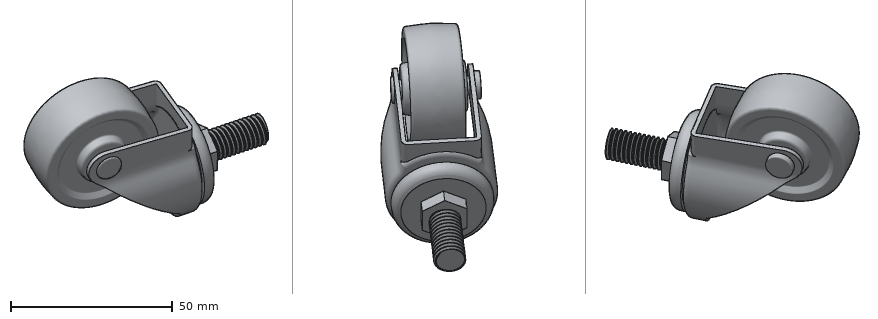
import cadquery as cq
import math


axle_y = -30.45
axle_z = 18.5
wheel_radius = 19.9
wheel_width = 16.9
tread_crown = 0.6
tread_corner = 0.95
recess_outer_radius = 15.9
recess_inner_radius = 14.2
recess_round = 0.3
web_width = 14.1
hub_width = 20.1
hub_base_radius = 8.4
hub_tip_radius = 7.9
hub_base_fillet = 0.55
hub_tip_fillet = 0.95
pin_radius = 3.0
pin_head_radius = 4.4
pin_head_thickness = 2.0
pin_head_round = 0.5
rivet_radius = 4.3
rivet_thickness = 0.7
rivet_round = 0.6

sheet = 1.5
cup_radius = 17.5
cup_round = 1.9
cup_floor = 1.8
cup_inner_round = 1.4
cup_lip_radius = 19.0
arm_outer_x = 12.5
blend_radius = 8.4
back_step = 0.95
back_round = 2.0
back_inner_round = 0.4
back_top_z = 22.6
arm_end_radius = 5.9
arm_end_y = axle_y - 1.0
heel_y = -7.0
heel_z = -8.6
heel_round = 2.0
toe_y = -5.8
fork_length = 43.5
fork_height = 27.7

flange_top_y = 5.45
flange_radius = 16.0
flange_top_radius = 13.3
flange_shoulder_radius = 14.4
flange_shoulder_y = 5.0
flange_side_top_y = 2.1
flange_bottom_y = 0.9
neck_top_radius = 14.3
neck_bottom_radius = 13.5
nut_flats = 13.9
nut_top_y = 9.8
stem_tip_y = 28.7
thread_radius = 5.0
thread_root_radius = 4.2
thread_pitch = 1.5
thread_crest = 0.2
thread_base = 1.35
thread_start_y = 8.1
thread_overlap = 0.15


def cylinder_y(radius, start_y, length):
    """Cylinder around the stem axis, from start_y toward -Y."""
    return cq.Workplane("XZ", origin=(0, start_y, 0)).circle(radius).extrude(length)


def arm_block(inset, start_y):
    """Block as wide as the arms, with its sides blended onto the cup circle; inset shrinks it."""
    circle_r = cup_radius - inset
    arm_x = arm_outer_x - inset
    blend_r = blend_radius + inset
    centre_x = arm_x + blend_r
    reach = circle_r + blend_r
    centre_z = math.sqrt(reach**2 - centre_x**2)
    foot_x = centre_x * circle_r / reach
    foot_z = centre_z * circle_r / reach
    mid_angle = math.pi + math.atan2(centre_z, centre_x) / 2
    mid_x = centre_x + blend_r * math.cos(mid_angle)
    mid_z = centre_z + blend_r * math.sin(mid_angle)
    return (
        cq.Workplane("XZ", origin=(0, start_y, 0))
        .moveTo(foot_x, foot_z)
        .threePointArc((mid_x, mid_z), (arm_x, centre_z))
        .lineTo(arm_x, fork_height)
        .lineTo(-arm_x, fork_height)
        .lineTo(-arm_x, centre_z)
        .threePointArc((-mid_x, mid_z), (-foot_x, foot_z))
        .close()
        .extrude(fork_length)
    )


def arm_end_tangent(point_y, point_z, side):
    """Point where a line from the given point touches the round arm end (side = +1 top, -1 front)."""
    dy = point_y - arm_end_y
    dz = point_z - axle_z
    angle = math.atan2(dz, dy) + side * math.acos(arm_end_radius / math.hypot(dy, dz))
    return arm_end_y + arm_end_radius * math.cos(angle), axle_z + arm_end_radius * math.sin(angle)


def fork_side_trim():
    """Side shape of the fork, as a prism along X."""
    top_touch = arm_end_tangent(-back_step, back_top_z, 1)
    front_touch = arm_end_tangent(heel_y, heel_z, -1)
    prism = (
        cq.Workplane("YZ")
        .moveTo(0, back_top_z)
        .lineTo(-back_step, back_top_z)
        .lineTo(*top_touch)
        .threePointArc((arm_end_y - arm_end_radius, axle_z), front_touch)
        .lineTo(heel_y, heel_z)
        .lineTo(toe_y, -cup_radius)
        .lineTo(0, -cup_radius)
        .close()
        .extrude(cup_radius, both=True)
    )
    heel = cq.selectors.NearestToPointSelector((0, heel_y, heel_z))
    return prism.edges("|X").edges(heel).fillet(heel_round)


def cup_block(inset, start_y, edge_round):
    """Cup with its lip between the arms, rounded along its back edge."""
    lip = arm_block(inset, start_y).intersect(cylinder_y(cup_lip_radius - inset, start_y, fork_length))
    cup = cylinder_y(cup_radius - inset, start_y, fork_length).union(lip)
    return cup.faces(">Y").edges().fillet(edge_round)


def fork_shell():
    """Sheet fork: the outer cup and arms, trimmed to the side shape and hollowed by the inner ones."""
    arms = arm_block(0, -back_step).faces(">Y").edges().fillet(back_round)
    arm_space = arm_block(sheet, -back_step - sheet).faces(">Y").edges("|Z").fillet(back_inner_round)
    cup = cup_block(0, 0, cup_round)
    cup_space = cup_block(sheet, -cup_floor, cup_inner_round)
    return cup.union(arms).intersect(fork_side_trim()).cut(arm_space).cut(cup_space)


def swivel_flange():
    """Round flange with its tapered neck, seated in the cup floor."""
    shoulder_height = flange_shoulder_y - flange_side_top_y
    shoulder_depth = flange_radius - flange_shoulder_radius
    arc_radius = (shoulder_height**2 + shoulder_depth**2) / (2 * shoulder_depth)
    half_angle = math.asin(shoulder_height / arc_radius) / 2
    arc_mid = (
        flange_radius - arc_radius * (1 - math.cos(half_angle)),
        flange_side_top_y + arc_radius * math.sin(half_angle),
    )
    return (
        cq.Workplane("XY")
        .moveTo(0, -cup_floor / 2)
        .lineTo(neck_bottom_radius, -cup_floor / 2)
        .lineTo(neck_bottom_radius, 0)
        .lineTo(neck_top_radius, flange_bottom_y)
        .lineTo(flange_radius, flange_bottom_y)
        .lineTo(flange_radius, flange_side_top_y)
        .threePointArc(arc_mid, (flange_shoulder_radius, flange_shoulder_y))
        .lineTo(flange_top_radius, flange_top_y)
        .lineTo(0, flange_top_y)
        .close()
        .revolve(360, (0, 0, 0), (0, 1, 0))
    )


def threaded_stem():
    """Hexagon and right-handed threaded rod."""
    corner_diameter = nut_flats / math.cos(math.pi / 6)
    nut = (
        cq.Workplane("XZ", origin=(0, nut_top_y, 0))
        .transformed(rotate=(0, 0, 90))
        .polygon(6, corner_diameter)
        .extrude(nut_top_y - flange_top_y)
    )
    run_out = 2 * thread_pitch
    core = cylinder_y(thread_root_radius, stem_tip_y + run_out, stem_tip_y + run_out - flange_top_y)
    inner_radius = thread_root_radius - thread_overlap
    base_half = thread_base / 2
    crest_half = thread_crest / 2
    helix = cq.Wire.makeHelix(thread_pitch, stem_tip_y + thread_pitch - thread_start_y, inner_radius)
    ridge = (
        cq.Workplane("XZ")
        .moveTo(inner_radius, -base_half)
        .lineTo(thread_radius, -crest_half)
        .lineTo(thread_radius, crest_half)
        .lineTo(inner_radius, base_half)
        .close()
        .sweep(helix, isFrenet=True)
        .rotate((0, 0, 0), (1, 0, 0), -90)
        .translate((0, thread_start_y, 0))
    )
    rod = core.union(ridge).intersect(cylinder_y(nut_flats, stem_tip_y, stem_tip_y))
    return nut.union(rod)


def revolve_on_axle(outline):
    """Revolve an (X, radius) outline about the X axis and move it onto the axle."""
    return outline.close().revolve(360, (0, 0, 0), (1, 0, 0)).translate((0, axle_y, axle_z))


def fillet_circle(body, x, radius, size):
    """Fillet the circular edge of the given radius around the axle at the given X."""
    slack = 0.01

    def is_match(edge):
        return abs(edge.Center().x - x) < slack and abs(edge.radius() - radius) < slack

    return body.edges("%CIRCLE").filter(is_match).fillet(size)


def make_wheel():
    """Crowned wheel with a recess around the hub on each side."""
    side_x = wheel_width / 2
    web_x = web_width / 2
    hub_x = hub_width / 2
    edge_radius = wheel_radius - tread_crown
    wheel = revolve_on_axle(
        cq.Workplane("XY")
        .moveTo(-hub_x, pin_radius)
        .lineTo(-hub_x, hub_tip_radius)
        .lineTo(-web_x, hub_base_radius)
        .lineTo(-web_x, recess_inner_radius)
        .lineTo(-side_x, recess_outer_radius)
        .lineTo(-side_x, edge_radius)
        .threePointArc((0, wheel_radius), (side_x, edge_radius))
        .lineTo(side_x, recess_outer_radius)
        .lineTo(web_x, recess_inner_radius)
        .lineTo(web_x, hub_base_radius)
        .lineTo(hub_x, hub_tip_radius)
        .lineTo(hub_x, pin_radius)
    )
    rounded_corners = [
        (side_x, edge_radius, tread_corner),
        (side_x, recess_outer_radius, recess_round),
        (web_x, recess_inner_radius, recess_round),
        (web_x, hub_base_radius, hub_base_fillet),
        (hub_x, hub_tip_radius, hub_tip_fillet),
    ]
    for x, radius, size in rounded_corners:
        for side in (-x, x):
            wheel = fillet_circle(wheel, side, radius, size)
    return wheel


def make_axle():
    """Pin with a head on the -X arm and a riveted end on the +X arm."""
    shaft = cq.Workplane("YZ").circle(pin_radius).extrude(arm_outer_x, both=True)
    head = (
        cq.Workplane("YZ", origin=(-arm_outer_x, 0, 0))
        .circle(pin_head_radius)
        .extrude(-pin_head_thickness)
        .faces("<X").edges().fillet(pin_head_round)
    )
    rivet = (
        cq.Workplane("YZ", origin=(arm_outer_x, 0, 0))
        .circle(rivet_radius)
        .extrude(rivet_thickness)
        .faces(">X").edges().fillet(rivet_round)
    )
    return shaft.union(head).union(rivet).translate((0, axle_y, axle_z))


def make_frame(axle):
    """Fork and threaded stem in one piece, with the holes and the head seat for the axle."""
    return fork_shell().cut(axle).union(swivel_flange()).union(threaded_stem())


axle = make_axle()
wheel = make_wheel()
frame = make_frame(axle)
result = cq.Compound.makeCompound([part.solids().val() for part in (frame, wheel, axle)])